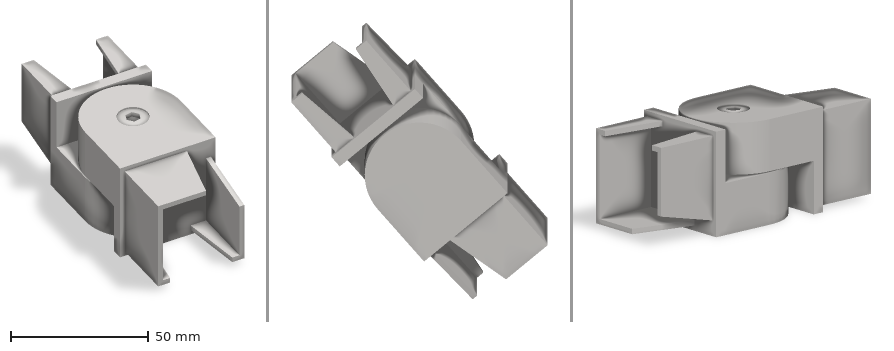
import cadquery as cq


length = 102.0
side = 40.0
plug_side = 36.0
plug_length = 25.0
wall = 2.0
plate_thickness = 4.6
tongue_gap = 0.6

floor_root, floor_tip = 26.0, 20.0
flank_root, flank_tip = 32.0, 26.0
upper_flank_trim = 2.0
lip_root, lip_tip = 8.5, 5.0

shank_radius = 3.0
head_radius = 6.0
seat_depth = 3.1
rim_depth = 0.6
hex_corners = 5.9
hex_angle = 40.0
socket_depth = 2.0

half_side = side / 2
half_plug = plug_side / 2
tip_x = -length / 2
root_x = tip_x + plug_length
plate_x = root_x + plate_thickness
tongue_top = -tongue_gap / 2
tongue_height = half_side + tongue_top
seat_z = half_side - seat_depth


def tapered_outline(edge, direction, root_width, tip_width):
    """Wall outline with one straight edge; its width grows in the given direction."""
    return [
        (tip_x, edge),
        (root_x, edge),
        (root_x, edge + direction * root_width),
        (tip_x, edge + direction * tip_width),
    ]


def flat_wall(bottom_z, edge, direction, root_width, tip_width):
    """Horizontal plug wall standing on the height bottom_z."""
    outline = tapered_outline(edge, direction, root_width, tip_width)
    return cq.Workplane("XY").workplane(offset=bottom_z).polyline(outline).close().extrude(wall)


def upright_wall(outer_y, root_width, tip_width):
    """Vertical plug wall hanging from the top, with its -Y face at outer_y."""
    outline = tapered_outline(half_plug, -1, root_width, tip_width)
    return cq.Workplane("XZ", origin=(0, outer_y, 0)).polyline(outline).close().extrude(-wall)


def make_plug(flank_trim):
    """Split square plug: full +Y wall with floor and lip, and -Y flank with lip."""
    full_wall = upright_wall(half_plug - wall, plug_side, plug_side)
    floor = flat_wall(-half_plug, half_plug, -1, floor_root, floor_tip)
    flank = upright_wall(-half_plug, flank_root - flank_trim, flank_tip - flank_trim)
    back_lip = flat_wall(half_plug - wall, half_plug, -1, lip_root, lip_tip)
    front_lip = flat_wall(half_plug - wall, -half_plug, 1, lip_root, lip_tip)
    return full_wall.union(floor).union(back_lip).union(flank.union(front_lip))


def make_tongue():
    """Lower tongue, rounded about the pivot axis."""
    return (
        cq.Workplane("XY")
        .workplane(offset=-half_side)
        .moveTo(root_x, -half_side)
        .lineTo(0, -half_side)
        .threePointArc((half_side, 0), (0, half_side))
        .lineTo(root_x, half_side)
        .close()
        .extrude(tongue_height)
    )


def make_knuckle(flank_trim):
    """Knuckle on the -X side, without its screw hole."""
    plate = cq.Workplane("XY").box(plate_thickness, side, side)
    plate = plate.translate(((root_x + plate_x) / 2, 0, 0))
    return plate.union(make_tongue()).union(make_plug(flank_trim))


def cylinder(radius, bottom_z, top_z):
    """Cylinder on the pivot axis."""
    return cq.Workplane("XY").workplane(offset=bottom_z).circle(radius).extrude(top_z - bottom_z)


def make_screw():
    """Domed screw with a hexagon socket, flush with both outer faces."""
    rim_z = half_side - rim_depth
    dome_radius = (head_radius**2 + rim_depth**2) / (2 * rim_depth)
    dome = cq.Workplane("XY").sphere(dome_radius).translate((0, 0, half_side - dome_radius))
    head = cylinder(head_radius, seat_z, half_side).intersect(
        dome.union(cylinder(head_radius, seat_z, rim_z))
    )
    socket = (
        cq.Workplane("XY")
        .workplane(offset=half_side - socket_depth)
        .polygon(6, hex_corners)
        .extrude(socket_depth)
        .rotate((0, 0, 0), (0, 0, 1), hex_angle)
    )
    return cylinder(shank_radius, -half_side, seat_z).union(head).cut(socket)


shank_hole = cylinder(shank_radius, -half_side, half_side)
head_recess = cylinder(head_radius, seat_z, half_side)

lower_knuckle = make_knuckle(0).cut(shank_hole)
upper_knuckle = make_knuckle(upper_flank_trim).mirror("XY").mirror("XZ").mirror("YZ")
upper_knuckle = upper_knuckle.cut(shank_hole).cut(head_recess)
screw = make_screw()

result = cq.Compound.makeCompound([lower_knuckle.val(), upper_knuckle.val(), screw.val()])